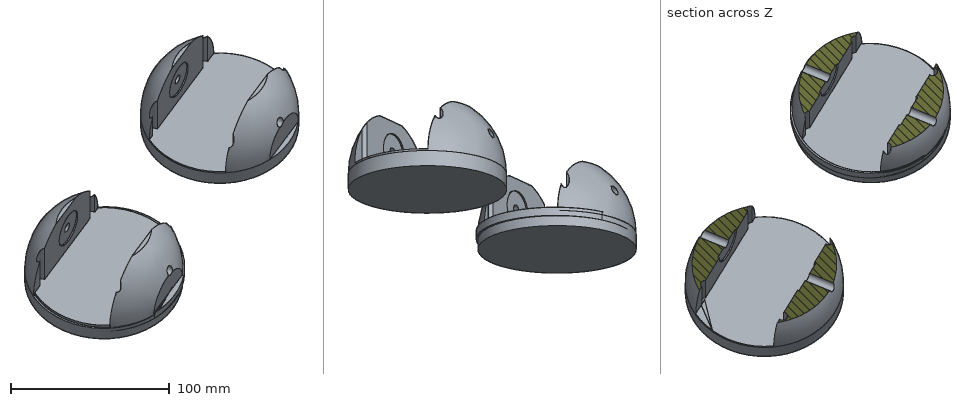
import cadquery as cq

RADIUS = 50.0
BASE_HEIGHT = 10.0
UNIT_PITCH = 149.9

TOTAL_HEIGHT = 50.2
DOME_CENTER_Z = 10.5
SLOT_WIDTH = 55.0
OUTER_FLAT_X = 46.5
REAR_FLOOR_Z = 11.2
FRONT_FLOOR_Z = 12.0

NOTCH_SHIFT_Y = 2.0
NOTCH_DIAMETER = 6.0
NOTCH_SPACING_X = 54.2
NOTCH_SPACING_Y = 65.0
NOTCH_SHIFT_X = -1.0
HOLE_DIAMETER = 6.0
HOLE_SHIFT_Y = 3.5
HOLE_Z = 30.2
RECESS_DIAMETER = 24.0
RECESS_DEPTH = 1.0

DISC_BOTTOM_Z = 6.5
DISC_SHIFT_X = 0.5
DISC_SHIFT_Y = 1.2

GROOVE_TIP = (12.2, 48.5)
GROOVE_NEAR_END = (27.5, 29.2)
GROOVE_FAR_END = (27.5, 34.0)


def cylinder(radius, bottom, top, x=0.0, y=0.0):
    """Upright cylinder between two heights."""
    return cq.Workplane("XY", origin=(x, y, bottom)).circle(radius).extrude(top - bottom)


def cross_cylinder(diameter, length, y):
    """Cylinder along X, centred on X = 0 at the height of the ear holes."""
    plane = cq.Workplane("YZ", origin=(0, y, HOLE_Z))
    return plane.circle(diameter / 2).extrude(length / 2, both=True)


def make_base():
    return cylinder(RADIUS, 0, BASE_HEIGHT)


def dome_blank():
    """Sphere trimmed by the base, the flat top and the flat +X side."""
    sphere = cq.Workplane("XY").sphere(RADIUS).translate((0, 0, DOME_CENTER_Z))
    envelope = cq.Workplane("XY", origin=(-RADIUS, 0, BASE_HEIGHT)).box(
        RADIUS + OUTER_FLAT_X, 2 * RADIUS, TOTAL_HEIGHT - BASE_HEIGHT, centered=(False, True, False)
    )
    return sphere.intersect(envelope)


def slot_block(bottom):
    """Block filling the space between the ears."""
    return cq.Workplane("XY", origin=(0, 0, bottom)).box(
        SLOT_WIDTH, 2 * RADIUS, TOTAL_HEIGHT, centered=(True, True, False)
    )


def make_yoke(floor_z, inward):
    """Two ears joined by a thin floor, with notches, recesses and a cross hole."""
    yoke = dome_blank().cut(slot_block(floor_z))
    for side_x in (-1, 1):
        for side_y in (-1, 1):
            notch_x = NOTCH_SHIFT_X + side_x * NOTCH_SPACING_X / 2
            notch_y = inward * NOTCH_SHIFT_Y + side_y * NOTCH_SPACING_Y / 2
            yoke = yoke.cut(cylinder(NOTCH_DIAMETER / 2, floor_z, TOTAL_HEIGHT, notch_x, notch_y))
    hole_y = inward * HOLE_SHIFT_Y
    recess = cross_cylinder(RECESS_DIAMETER, SLOT_WIDTH + 2 * RECESS_DEPTH, hole_y)
    hole = cross_cylinder(HOLE_DIAMETER, 2 * RADIUS, hole_y)
    return yoke.cut(recess).cut(hole)


def floor_groove():
    """Tapering groove through half of the rear floor's thickness."""
    groove_depth = (REAR_FLOOR_Z - BASE_HEIGHT) / 2
    plane = cq.Workplane("XY", origin=(0, 0, REAR_FLOOR_Z - groove_depth))
    return plane.polyline([GROOVE_TIP, GROOVE_NEAR_END, GROOVE_FAR_END]).close().extrude(groove_depth)


rear_center = (0, UNIT_PITCH / 2, 0)
rear_base = make_base().translate(rear_center)
rear_yoke = make_yoke(REAR_FLOOR_Z, -1).cut(floor_groove()).translate(rear_center)

front_center = (0, -UNIT_PITCH / 2, 0)
disc_blank = cylinder(RADIUS, DISC_BOTTOM_Z, FRONT_FLOOR_Z, DISC_SHIFT_X, DISC_SHIFT_Y)
floor_edge = slot_block(BASE_HEIGHT).cut(disc_blank)
front_yoke_local = make_yoke(FRONT_FLOOR_Z, 1).cut(floor_edge)
front_yoke = front_yoke_local.translate(front_center)
front_base = make_base().cut(disc_blank).translate(front_center)
front_disc = disc_blank.cut(front_yoke_local).translate(front_center)

bodies = [rear_base, rear_yoke, front_base, front_yoke, front_disc]
result = cq.Compound.makeCompound([body.solids().val() for body in bodies])